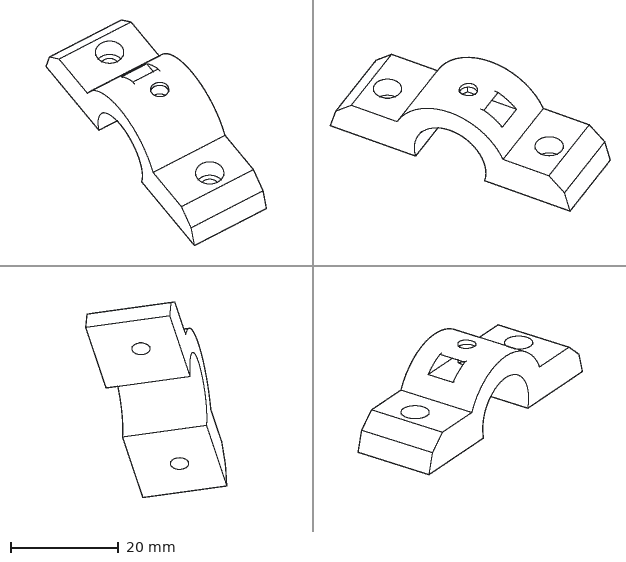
import cadquery as cq
import math

length = 50.5
width = 16.0
height = 14.05

flange_height = 7.0
shoulder_height = 4.15
shoulder_inset = 1.15
flange_top_inset = 4.45

saddle_radius = 12.4
bore_radius = 7.55
bore_center_height = 2.0

hole_line_y = 0.75
hole_diameter = 3.4
bolt_spacing = 34.05
head_diameter = 5.25
head_depth = 4.05

nut_width = 5.6
slot_bottom = 10.5
slot_top = 13.1


def clamp_body():
    """Flanged saddle profile extruded along Y, with the shaft bore removed."""
    half_length = length / 2
    shoulder_x = half_length - shoulder_inset
    flange_x = half_length - flange_top_inset
    saddle_center_height = height - saddle_radius
    saddle_x = math.sqrt(saddle_radius**2 - (flange_height - saddle_center_height) ** 2)
    body = (
        cq.Workplane("XZ")
        .moveTo(-half_length, 0)
        .lineTo(-shoulder_x, shoulder_height)
        .lineTo(-flange_x, flange_height)
        .lineTo(-saddle_x, flange_height)
        .threePointArc((0, height), (saddle_x, flange_height))
        .lineTo(flange_x, flange_height)
        .lineTo(shoulder_x, shoulder_height)
        .lineTo(half_length, 0)
        .close()
        .extrude(width / 2, both=True)
    )
    bore = (
        cq.Workplane("XZ")
        .center(0, bore_center_height)
        .circle(bore_radius)
        .extrude(width / 2, both=True)
    )
    return body.cut(bore)


def vertical_hole(x, diameter, bottom, top):
    return (
        cq.Workplane("XY", origin=(x, hole_line_y, bottom))
        .circle(diameter / 2)
        .extrude(top - bottom)
    )


def nut_slot():
    """Slot open towards -X, ending in the far half of a hexagon."""
    half_width = nut_width / 2
    corner_radius = nut_width / math.sqrt(3)
    slot_outline = [
        (-length / 2, -half_width),
        (corner_radius / 2, -half_width),
        (corner_radius, 0),
        (corner_radius / 2, half_width),
        (-length / 2, half_width),
    ]
    return (
        cq.Workplane("XY", origin=(0, hole_line_y, slot_bottom))
        .polyline(slot_outline)
        .close()
        .extrude(slot_top - slot_bottom)
    )


result = clamp_body().cut(nut_slot())
result = result.cut(vertical_hole(0, hole_diameter, 0, height))

for bolt_x in (-bolt_spacing / 2, bolt_spacing / 2):
    result = result.cut(vertical_hole(bolt_x, hole_diameter, 0, flange_height))
    result = result.cut(vertical_hole(bolt_x, head_diameter, flange_height - head_depth, flange_height))